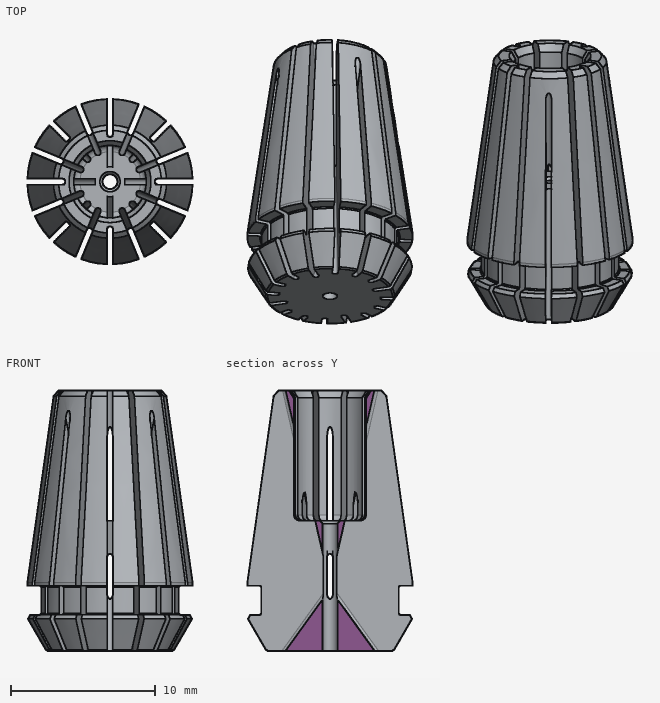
import cadquery as cq
import math

height = 18.0
body_diameter = 11.43
body_radius = body_diameter / 2
nose_radius = 5.67
neck_radius = 4.75
top_face_radius = 3.55
taper_angle = 8.0
nose_angle = 30.0
nose_rim_height = 2.21
nose_rim_setback = 0.16
neck_bottom = 2.5
neck_top = 4.5
taper_start = 4.73
top_chamfer_start = 17.6
edge_break = 0.09

grip_diameter = 1.0
grip_radius = grip_diameter / 2
grip_chamfer = 0.2
relief_radius = 2.5
relief_mouth_radius = 2.83
relief_mouth_depth = 0.52
relief_floor = 9.0
relief_floor_fillet = 0.41

slot_count = 16
slot_width = 0.41
slot_round = slot_width / 2
overshoot = 3.6

shallow_floor = [(1.98, relief_floor), (3.5, 0.0)]
blind_roof = [(4.07, 16.67), shallow_floor[0]]
deep_roof = [(3.08, height), (0.0, 4.5)]
deep_floor = [(0.0, 4.3), (3.1, 0.0)]


def make_blank():
    nose_slope = math.tan(math.radians(nose_angle))
    taper_slope = math.tan(math.radians(taper_angle))
    nose_foot = nose_radius - nose_rim_height * nose_slope
    taper_end = body_radius - (top_chamfer_start - taper_start) * taper_slope
    profile = cq.Workplane("XZ").polyline([
        (0, 0),
        (nose_foot - edge_break, 0),
        (nose_foot + edge_break * nose_slope, edge_break),
        (nose_radius, nose_rim_height),
        (nose_radius - nose_rim_setback, neck_bottom),
        (neck_radius + edge_break, neck_bottom),
        (neck_radius, neck_bottom + edge_break),
        (neck_radius, neck_top - edge_break),
        (neck_radius + edge_break, neck_top),
        (body_radius, neck_top),
        (body_radius, taper_start),
        (taper_end, top_chamfer_start),
        (top_face_radius, height),
        (0, height),
    ]).close()
    return profile.revolve(360, (0, 0, 0), (0, 1, 0))


def make_bore():
    profile = (
        cq.Workplane("XZ")
        .lineTo(grip_radius, 0)
        .lineTo(grip_radius, relief_floor - grip_chamfer)
        .lineTo(grip_radius + grip_chamfer, relief_floor)
        .lineTo(relief_radius - relief_floor_fillet, relief_floor)
        .radiusArc((relief_radius, relief_floor + relief_floor_fillet), -relief_floor_fillet)
        .lineTo(relief_radius, height - relief_mouth_depth)
        .lineTo(relief_mouth_radius, height)
        .lineTo(0, height)
        .close()
    )
    return profile.revolve(360, (0, 0, 0), (0, 1, 0))


def rounded_slot_edge(edge):
    """Axis of the half-round edge of a slot, set outward so that its crest follows the given edge."""
    (r0, z0), (r1, z1) = edge
    shift = slot_round * math.dist(*edge) / abs(z1 - z0)
    return [(r0 + shift, z0), (r1 + shift, z1)]


def extended(edge, before, after):
    """Lengthen an edge beyond its upper and lower ends."""
    (r0, z0), (r1, z1) = edge
    length = math.dist(*edge)
    ur, uz = (r1 - r0) / length, (z1 - z0) / length
    return [(r0 - ur * before, z0 - uz * before), (r1 + ur * after, z1 + uz * after)]


def plate(points):
    """Radial plate of the slot width."""
    return cq.Workplane("XZ").polyline(points).close().extrude(slot_round, both=True)


def rod(axis):
    """Round bar that gives a slot its half-round edge."""
    (r0, z0), (r1, z1) = axis
    direction = cq.Vector(r1 - r0, 0, z1 - z0)
    start = cq.Vector(r0, 0, z0)
    return cq.Workplane(obj=cq.Solid.makeCylinder(slot_round, direction.Length, start, direction))


outside_low = (body_radius + overshoot, -overshoot)
outside_high = (body_radius + overshoot, height + overshoot)


def open_slot():
    """Slot open at the top, with a sloping floor."""
    floor = extended(rounded_slot_edge(shallow_floor), overshoot, overshoot)
    inner_top = (floor[0][0], outside_high[1])
    return plate([*floor, outside_low, outside_high, inner_top]).union(rod(floor))


def blind_slot():
    """Slot with the same floor, closed below the top by a sloping roof."""
    floor = extended(rounded_slot_edge(shallow_floor), 0, overshoot)
    roof = extended(rounded_slot_edge(blind_roof), overshoot, 0)
    outline = [*floor, outside_low, outside_high, roof[0]]
    lower_rod = rod(extended(floor, slot_width, 0))
    return plate(outline).union(lower_rod).union(rod(roof))


def deep_slot():
    """Slot reaching the grip hole; its roof is half-round above the relief floor and flat below it."""
    floor = extended(rounded_slot_edge(deep_floor), 0, overshoot)
    (top_radius, top_height), (_, axis_height) = deep_roof
    flat_radius = top_radius * (relief_floor - axis_height) / (top_height - axis_height)
    flat_start = (flat_radius, relief_floor)
    roof = extended(rounded_slot_edge([deep_roof[0], flat_start]), overshoot, 0)
    outline = [*floor, outside_low, outside_high, *roof, flat_start, deep_roof[1]]
    lower_rod = rod(extended(floor, slot_width, 0))
    upper_rod = rod(extended(roof, 0, slot_width))
    return plate(outline).union(lower_rod).union(upper_rod)


result = make_blank().cut(make_bore())
slots = [deep_slot(), open_slot(), blind_slot(), open_slot()]
for index in range(slot_count):
    turn = index * 360 / slot_count
    result = result.cut(slots[index % len(slots)].rotate((0, 0, 0), (0, 0, 1), turn))